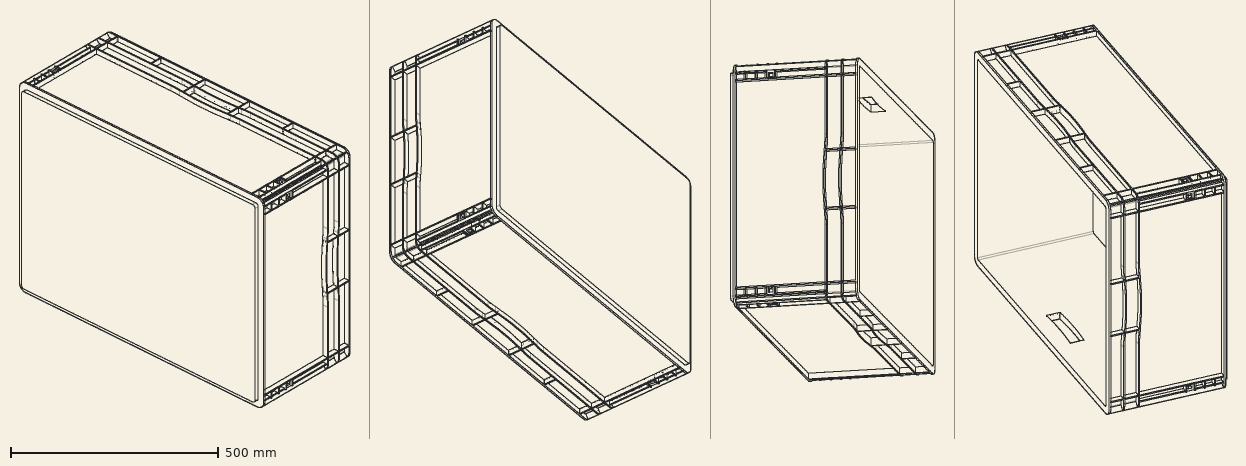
import cadquery as cq

length = 800.0
depth = 320.0
height = 600.0
corner_radius = 21.0

lip_depth = 11.0
base_flange_thickness = 5.0
floor_level = 14.0
rim_thickness = 5.0
wall_start = lip_depth + base_flange_thickness
wall_end = depth - rim_thickness

lip_inset = 18.0
lip_radius = 8.0
panel_inset = 14.0
cavity_inset = 19.0
panel_radius = corner_radius - panel_inset
inner_radius = 4.0

rib_thickness = 3.0
upper_hoop_level = depth - 42.0
lower_hoop_level = depth - 81.0
bow_half_width = 112.0
bow_center_half_width = 83.0
bow_flare_drop = 1.4
corner_rib_distance = 21.0
corner_rib_inset = 4.0
side_rib_distance = 40.0
handle_half_width = 71.0
divider_position = 214.0

ladder_levels = (38.0, 65.0, 90.0, 114.0)
lock_pocket_size = 10.0
lock_frame_inset = 4.0


def prism(inset, radius, start, end):
    """Rounded rectangle, inset from the outer outline, running along Y from start to end."""
    return (
        cq.Workplane("XZ", origin=(0, start, 0))
        .rect(length - 2 * inset, height - 2 * inset)
        .extrude(start - end)
        .edges("|Y")
        .fillet(radius)
    )


def block(x_range, y_range, z_range):
    """Box given by its limits along each axis."""
    sizes = [limits[1] - limits[0] for limits in (x_range, y_range, z_range)]
    corner = (x_range[0], y_range[0], z_range[0])
    return cq.Workplane("XY").box(*sizes, centered=False).translate(corner)


def bowed_band(half_length, low, high, z_range):
    """Band between two Y levels whose middle stretch bows smoothly toward the base."""
    outer_x, inner_x = bow_half_width, bow_center_half_width
    band = cq.Workplane("XY", origin=(0, 0, z_range[0])).moveTo(-half_length, low)
    for level, direction in ((low, 1), (high, -1)):
        band = (
            band.lineTo(-direction * outer_x, level)
            .tangentArcPoint((-direction * inner_x, level - bow_flare_drop), relative=False)
            .tangentArcPoint((direction * inner_x, level - bow_flare_drop), relative=False)
            .tangentArcPoint((direction * outer_x, level), relative=False)
            .lineTo(direction * half_length, level)
        )
        if level == low:
            band = band.lineTo(half_length, high)
    return band.close().extrude(z_range[1] - z_range[0])


def corner_ribs(half_length, outer):
    """Ribs and framed pocket beside the corner at the +X end of a wall facing +Z."""
    root = outer - cavity_inset
    side_rib = half_length - side_rib_distance
    corner_side = half_length - corner_rib_distance
    ribs = block((side_rib - rib_thickness, side_rib), (wall_start, wall_end), (root, outer))
    ribs = ribs.union(
        block(
            (corner_side - rib_thickness, corner_side),
            (wall_start, lower_hoop_level),
            (root, outer - corner_rib_inset),
        )
    )
    for level in ladder_levels:
        ribs = ribs.union(
            block((side_rib, corner_side), (level, level + rib_thickness), (root, outer))
        )
    lock_start, lock_end = ladder_levels[-2:]
    lock_x = (side_rib + corner_side - rib_thickness) / 2
    lock_y = (lock_start + lock_end + rib_thickness) / 2
    half_pocket = lock_pocket_size / 2
    frame = block(
        (side_rib, corner_side), (lock_start, lock_end), (root, outer - lock_frame_inset)
    )
    pocket = block(
        (lock_x - half_pocket, lock_x + half_pocket),
        (lock_y - half_pocket, lock_y + half_pocket),
        (outer - panel_inset, outer),
    )
    return ribs.union(frame.cut(pocket))


def wall_ribs(wall_length, outer, dividers):
    """All ribs of one wall facing +Z whose outer face is at height outer."""
    half_length = wall_length / 2
    z_range = (outer - cavity_inset, outer)
    ribs = corner_ribs(half_length, outer)
    for x in dividers:
        ribs = ribs.union(
            block((x, x + rib_thickness), (upper_hoop_level, wall_end), z_range)
        )
    handle_rib = block(
        (handle_half_width, handle_half_width + rib_thickness),
        (lower_hoop_level - bow_flare_drop, wall_end),
        z_range,
    )
    ribs = ribs.union(handle_rib)
    ribs = ribs.union(ribs.mirror("YZ"))
    for level in (upper_hoop_level, lower_hoop_level):
        ribs = ribs.union(bowed_band(half_length, level, level + rib_thickness, z_range))
    return ribs


def around_y(shape, angle):
    return shape.rotate((0, 0, 0), (0, 1, 0), angle)


body = prism(lip_inset, lip_radius, 0, lip_depth)
body = body.union(prism(0, corner_radius, lip_depth, wall_start))
body = body.union(prism(panel_inset, panel_radius, wall_start, wall_end))
body = body.union(prism(0, corner_radius, wall_end, depth))

long_wall = wall_ribs(length, height / 2, (divider_position,))
end_wall = wall_ribs(height, length / 2, ())
outline = prism(0, corner_radius, 0, depth)
for wall, angle in ((long_wall, 0), (long_wall, 180), (end_wall, 90), (end_wall, -90)):
    body = body.union(around_y(wall, angle).intersect(outline))

diagonal_rib = around_y(
    block(
        (0, 2 * corner_radius),
        (wall_start, wall_end),
        (-rib_thickness / 2, rib_thickness / 2),
    ),
    -45,
).translate((length / 2 - cavity_inset, 0, height / 2 - cavity_inset))
diagonal_rib = diagonal_rib.intersect(outline)
rib_pair = diagonal_rib.union(diagonal_rib.mirror("YZ"))
body = body.union(rib_pair).union(rib_pair.mirror("XY"))

body = body.cut(prism(cavity_inset, inner_radius, floor_level, depth))

z_limits = (-height / 2, height / 2)
hand_hole = bowed_band(
    length / 2, lower_hoop_level + rib_thickness, upper_hoop_level, z_limits
).intersect(block((-handle_half_width, handle_half_width), (0, depth), z_limits))
result = body.cut(hand_hole)